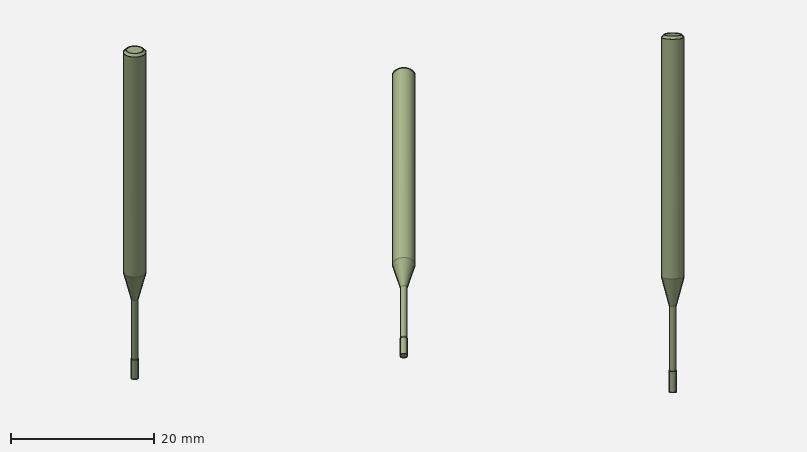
import cadquery as cq
import math

total_length = 50.8
shank_radius = 3.175 / 2
shank_end_chamfer = 0.38

taper_half_angle = math.radians(15)

tip_radius = 0.5
tip_length = 3.0
flare_height = 0.15
neck_radius = 0.475
neck_top = 12.2

taper_height = (shank_radius - neck_radius) / math.tan(taper_half_angle)
taper_top = neck_top + taper_height


def make_holder():
    """Shank, taper and neck as one turned body, with a short flare down to the tip's diameter."""
    half_profile = (
        cq.Workplane("XZ")
        .moveTo(0, tip_length)
        .lineTo(tip_radius, tip_length)
        .lineTo(neck_radius, tip_length + flare_height)
        .lineTo(neck_radius, neck_top)
        .lineTo(shank_radius, taper_top)
        .lineTo(shank_radius, total_length - shank_end_chamfer)
        .lineTo(shank_radius - shank_end_chamfer, total_length)
        .lineTo(0, total_length)
        .close()
    )
    return half_profile.revolve(360, (0, 0, 0), (0, 1, 0))


def make_cutting_tip():
    """Plain cylinder that butts against the flared lower end of the neck."""
    return cq.Workplane("XY").circle(tip_radius).extrude(tip_length)


holder = make_holder()
cutting_tip = make_cutting_tip()

result = cq.Compound.makeCompound([holder.val(), cutting_tip.val()])